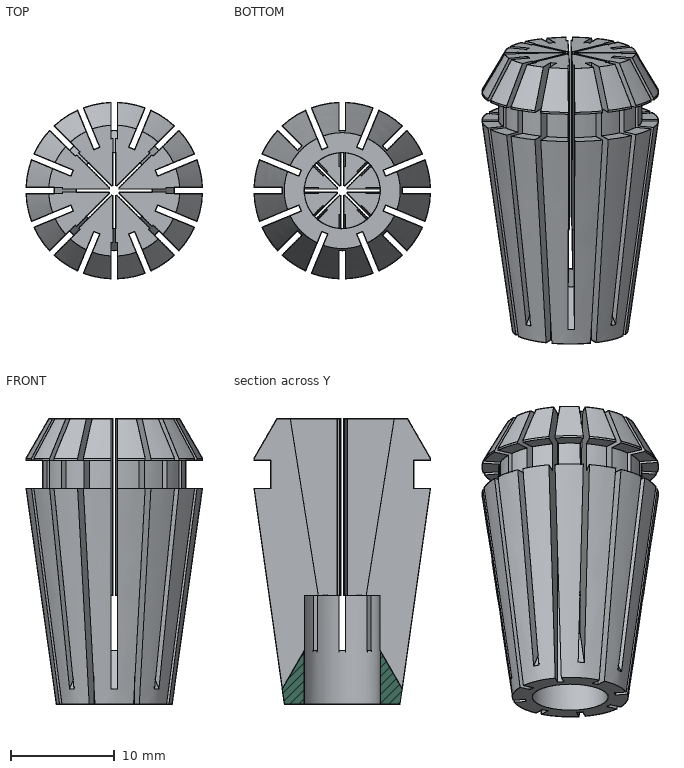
import cadquery as cq
import math

LENGTH = 27.5
MAX_RADIUS = 8.5
BODY_ANGLE = 8.0
NOSE_ANGLE = 30.0
NOSE_TIP_RADIUS = 6.3

GROOVE_BOTTOM = 20.8
GROOVE_TOP = 23.5
GROOVE_RADIUS = 6.9

BORE_RADIUS = 0.5
RELIEF_RADIUS = 3.65
RELIEF_DEPTH = 10.5

SLOTS_PER_SET = 8
SLOT_WIDTH = 0.6
SLIT_WIDTH = 0.27
FULL_SLOT_INNER_RADIUS = 4.4
STEPPED_SLOT_INNER_RADIUS = 5.0
SLOT_END_HEIGHT = 1.5
SLOT_STEP_ANGLE = 9.0
SLOT_FLOOR_ANGLE = 30.0

SLOT_PITCH = 360.0 / SLOTS_PER_SET
BODY_SLOPE = math.tan(math.radians(BODY_ANGLE))
BASE_RADIUS = MAX_RADIUS - GROOVE_BOTTOM * BODY_SLOPE
NOSE_HEIGHT = (MAX_RADIUS - NOSE_TIP_RADIUS) / math.tan(math.radians(NOSE_ANGLE))
CUT_RADIUS = MAX_RADIUS + 1.0


def make_body():
    """Revolved collet body, solid apart from the outside groove."""
    outline = [
        (0, 0),
        (BASE_RADIUS, 0),
        (MAX_RADIUS, GROOVE_BOTTOM),
        (GROOVE_RADIUS, GROOVE_BOTTOM),
        (GROOVE_RADIUS, GROOVE_TOP),
        (MAX_RADIUS, GROOVE_TOP),
        (MAX_RADIUS, LENGTH - NOSE_HEIGHT),
        (NOSE_TIP_RADIUS, LENGTH),
        (0, LENGTH),
    ]
    return cq.Workplane("XZ").polyline(outline).close().revolve(360, (0, 0), (0, 1))


def make_bore():
    """Gripping bore right through, opened out from the base."""
    grip = cq.Workplane("XY").circle(BORE_RADIUS).extrude(LENGTH)
    relief = cq.Workplane("XY").circle(RELIEF_RADIUS).extrude(RELIEF_DEPTH)
    return grip.union(relief)


def radial_cutter(outline, width):
    """Plate along +X from an outline of (radius, height) points."""
    return cq.Workplane("XZ").polyline(outline).close().extrude(width / 2, both=True)


def make_full_slot():
    """Slot over the whole length, stopping short of the bore."""
    outline = [
        (FULL_SLOT_INNER_RADIUS, 0),
        (CUT_RADIUS, 0),
        (CUT_RADIUS, LENGTH),
        (FULL_SLOT_INNER_RADIUS, LENGTH),
    ]
    return radial_cutter(outline, SLOT_WIDTH)


def slot_floor_height(radius):
    """Height of the sloping stepped slot floor at a given radius."""
    runout_radius = BASE_RADIUS + SLOT_END_HEIGHT * BODY_SLOPE
    return SLOT_END_HEIGHT + (runout_radius - radius) / math.tan(math.radians(SLOT_FLOOR_ANGLE))


def make_stepped_slot():
    """Wide outer slot that narrows to a slit beside the gripping bore."""
    step_drop = LENGTH - RELIEF_DEPTH
    step_end_radius = STEPPED_SLOT_INNER_RADIUS - step_drop * math.tan(math.radians(SLOT_STEP_ANGLE))
    wide_outline = [
        (step_end_radius, RELIEF_DEPTH),
        (step_end_radius, slot_floor_height(step_end_radius)),
        (CUT_RADIUS, slot_floor_height(CUT_RADIUS)),
        (CUT_RADIUS, LENGTH),
        (STEPPED_SLOT_INNER_RADIUS, LENGTH),
    ]
    slit_outline = [
        (0, RELIEF_DEPTH),
        (STEPPED_SLOT_INNER_RADIUS, RELIEF_DEPTH),
        (STEPPED_SLOT_INNER_RADIUS, LENGTH),
        (0, LENGTH),
    ]
    return radial_cutter(wide_outline, SLOT_WIDTH).union(radial_cutter(slit_outline, SLIT_WIDTH))


def cut_around_axis(part, cutter, first_angle):
    """Repeat a cutter at the slot pitch around Z."""
    for index in range(SLOTS_PER_SET):
        angle = first_angle + index * SLOT_PITCH
        part = part.cut(cutter.rotate((0, 0, 0), (0, 0, 1), angle))
    return part


collet = make_body().cut(make_bore())
collet = cut_around_axis(collet, make_stepped_slot(), 0)
collet = cut_around_axis(collet, make_full_slot(), SLOT_PITCH / 2)
result = collet